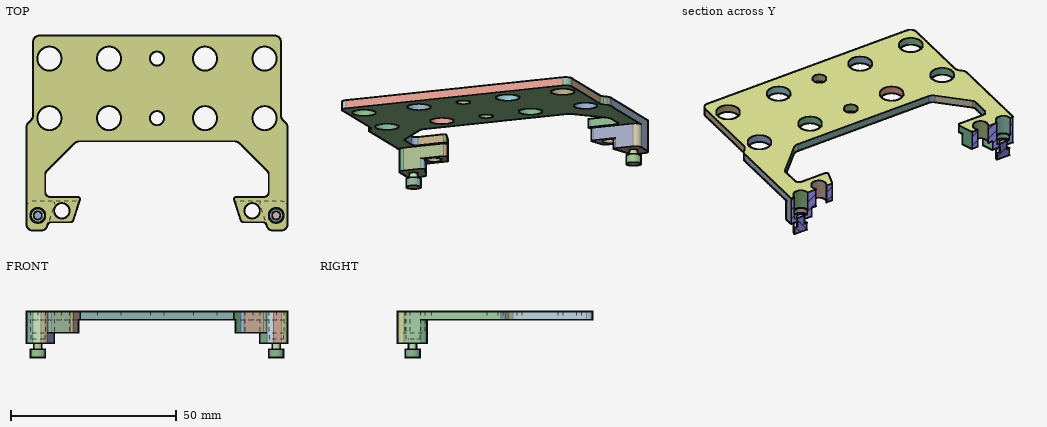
import cadquery as cq
import math

width = 79.0
length = 59.0
plate_thickness = 2.6
tab_depth = 6.5
foot_depth = 9.7

outer_x = -width / 2
shoulder_step = 2.0
shoulder_x = outer_x + shoulder_step
shoulder_y = 32.0
outer_radius = 2.0

window_top_y = 27.0
window_side_x = -33.75
window_chamfer = 9.45
window_chamfer_radius = 2.5
window_corner_radius = 1.5

side_slope = math.tan(math.radians(18.0))
tab_bottom_y = 2.5
tab_top_y = 10.2
block_back_y = 9.0
block_back_radius = 0.8
foot_front_x = -33.6
tab_front_x = -26.3
tab_radius = 1.0
tab_tip_radius = 0.7

large_hole_diameter = 7.2
small_hole_diameter = 4.2
hole_rows_y = (34.0, 52.0)
large_hole_columns_x = (-32.5, -14.5)

tab_hole_diameter = 4.6
foot_bore_diameter = 4.6
foot_bore_depth = 6.5
foot_step_diameter = 4.2
foot_step_depth = 8.2
tab_hole_x = -28.75
tab_hole_y = 6.0
screw_x = 36.0
screw_y = 4.6
screw_head_diameter = 4.5
screw_shank_diameter = 2.5
screw_head_height = 2.6
screw_bottom_z = -14.0


def foot_side_x(y):
    """X of the sloped inner side of the left foot."""
    return foot_front_x + y * side_slope


def tab_side_x(y):
    """X of the sloped tip of the left tab."""
    return tab_front_x + y * side_slope


def toward(start, end, distance):
    """Point at a distance from start on the way to end."""
    span = math.dist(start, end)
    return tuple(a + (b - a) * distance / span for a, b in zip(start, end))


def rounded_prism(corners, depth):
    """Prism hanging down from Z = 0; each corner is (x, y, radius), radius 0 being sharp."""
    starts = []
    ends = []
    middles = []
    for index, (x, y, radius) in enumerate(corners):
        corner = (x, y)
        before = corners[index - 1][:2]
        after = corners[(index + 1) % len(corners)][:2]
        turn_in = math.atan2(y - before[1], x - before[0])
        turn_out = math.atan2(after[1] - y, after[0] - x)
        half_turn = abs(math.remainder(turn_out - turn_in, 2 * math.pi)) / 2
        tangent_length = radius * math.tan(half_turn)
        start = toward(corner, before, tangent_length)
        end = toward(corner, after, tangent_length)
        chord_middle = ((start[0] + end[0]) / 2, (start[1] + end[1]) / 2)
        sagitta = radius * (1 - math.cos(half_turn))
        starts.append(start)
        ends.append(end)
        middles.append(toward(chord_middle, corner, sagitta) if radius else corner)

    sketch = cq.Workplane("XY").moveTo(*ends[0])
    for start, middle, end, corner in zip(starts[1:], middles[1:], ends[1:], corners[1:]):
        sketch = sketch.lineTo(*start)
        if corner[2]:
            sketch = sketch.threePointArc(middle, end)
    if corners[0][2]:
        sketch = sketch.lineTo(*starts[0]).threePointArc(middles[0], ends[0])
    return sketch.close().extrude(-depth)


foot_outer_corner = (outer_x, 0, outer_radius)
foot_inner_corner = (foot_front_x, 0, outer_radius)
tab_root_corner = (foot_side_x(tab_bottom_y), tab_bottom_y, tab_radius)
tab_end_corner = (tab_side_x(tab_bottom_y), tab_bottom_y, tab_radius)
block_outer_corner = (outer_x, block_back_y, outer_radius)


def half_plate():
    return rounded_prism(
        [
            (0, length, 0),
            (shoulder_x, length, outer_radius),
            (shoulder_x, shoulder_y + shoulder_step, outer_radius),
            (outer_x, shoulder_y, outer_radius),
            foot_outer_corner,
            foot_inner_corner,
            tab_root_corner,
            tab_end_corner,
            (tab_side_x(tab_top_y), tab_top_y, tab_tip_radius),
            (window_side_x, tab_top_y, window_corner_radius),
            (window_side_x, window_top_y - window_chamfer, window_corner_radius),
            (window_side_x + window_chamfer, window_top_y, window_chamfer_radius),
            (0, window_top_y, 0),
        ],
        plate_thickness,
    )


def tab_block():
    return rounded_prism(
        [
            (tab_side_x(block_back_y), block_back_y, block_back_radius),
            block_outer_corner,
            foot_outer_corner,
            foot_inner_corner,
            tab_root_corner,
            tab_end_corner,
        ],
        tab_depth,
    )


def foot_block():
    return rounded_prism(
        [
            (foot_side_x(block_back_y), block_back_y, block_back_radius),
            block_outer_corner,
            foot_outer_corner,
            foot_inner_corner,
        ],
        foot_depth,
    )


def holes(centers, diameter, depth=foot_depth):
    return cq.Workplane("XY").pushPoints(centers).circle(diameter / 2).extrude(-depth)


def foot_bore():
    """Bore that narrows in steps from the top face down to the screw shank."""
    center = [(-screw_x, screw_y)]
    bore = holes(center, foot_bore_diameter, foot_bore_depth)
    bore = bore.union(holes(center, foot_step_diameter, foot_step_depth))
    return bore.union(holes(center, screw_shank_diameter))


def make_frame():
    half = half_plate().union(tab_block()).union(foot_block())
    large_centers = [(x, y) for x in large_hole_columns_x for y in hole_rows_y]
    half = half.cut(holes(large_centers, large_hole_diameter))
    half = half.cut(holes([(tab_hole_x, tab_hole_y)], tab_hole_diameter))
    half = half.cut(foot_bore())
    body = half.union(half.mirror("YZ")).clean()
    small_centers = [(0, y) for y in hole_rows_y]
    return body.cut(holes(small_centers, small_hole_diameter))


def make_screw(x):
    """Screw standing on its head, the shank filling the foot hole up to the bore floor."""
    head = cq.Workplane("XY", origin=(x, screw_y, screw_bottom_z))
    head = head.circle(screw_head_diameter / 2).extrude(screw_head_height)
    shank_length = -foot_step_depth - screw_bottom_z - screw_head_height
    return head.faces(">Z").workplane().circle(screw_shank_diameter / 2).extrude(shank_length)


frame = make_frame()
screws = [make_screw(x) for x in (-screw_x, screw_x)]

result = cq.Compound.makeCompound([frame.val(), *[screw.val() for screw in screws]])